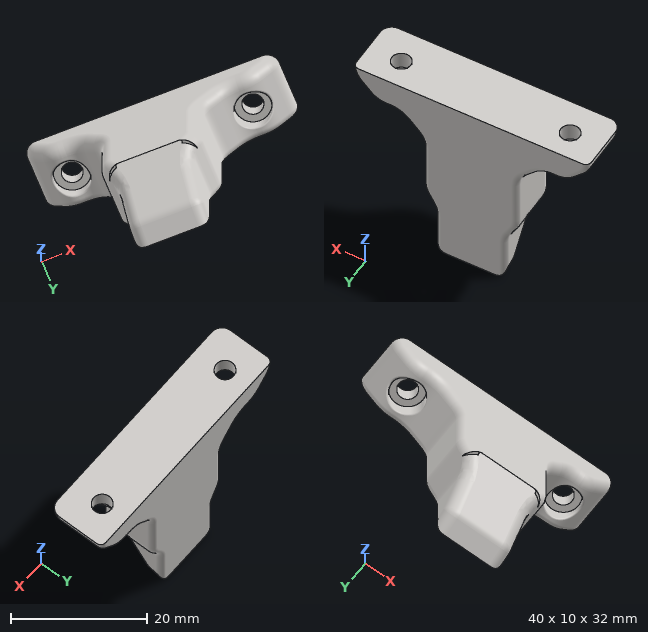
import cadquery as cq
import math

WIDTH = 40.0
DEPTH = 10.0
HEIGHT = 32.0

BEND_RADIUS = 4.0
SHELF_DROP = 5.5
FLARE_ANGLE = 45.0
STEM_HALF_WIDTH = 8.0
FLARE_DROP = 9.5
NECK_DROP = 20.0
NECK_ANGLE = 30.0
TIP_HALF_WIDTH = 6.0

SLOPE_START_DROP = 21.47
SLOPE_ANGLE = 35.1
BOTTOM_TILT = 20.0

FRONT_ROUND = 2.0
BACK_ROUND = 1.0

HOLE_DIAMETER = 3.2
HOLE_SPACING = 28.67
HOLE_FROM_BACK = 4.48
HEAD_RECESS_DIAMETER = 5.6
HEAD_SEAT_DROP = 3.0
RIM_ROUND = 0.25

STOCK = 4.0


def tan_deg(angle):
    return math.tan(math.radians(angle))


def make_outline_prism():
    """Symmetric bracket outline, extruded through the full depth, with rounded bends."""
    end_drop = BEND_RADIUS * tan_deg(FLARE_ANGLE / 2)
    shelf_half_width = WIDTH / 2 - (SHELF_DROP - end_drop) / tan_deg(FLARE_ANGLE)
    flare_half_width = STEM_HALF_WIDTH + (FLARE_DROP - SHELF_DROP) / tan_deg(FLARE_ANGLE)
    neck_height = (STEM_HALF_WIDTH - TIP_HALF_WIDTH) / tan_deg(NECK_ANGLE)
    bends = [
        (WIDTH / 2, -end_drop),
        (shelf_half_width, -SHELF_DROP),
        (flare_half_width, -SHELF_DROP),
        (STEM_HALF_WIDTH, -FLARE_DROP),
        (STEM_HALF_WIDTH, -NECK_DROP),
        (TIP_HALF_WIDTH, -NECK_DROP - neck_height),
    ]
    right_side = [(WIDTH / 2, STOCK)] + bends + [(TIP_HALF_WIDTH, -HEIGHT)]
    left_side = [(-x, z) for x, z in reversed(right_side)]
    prism = cq.Workplane("XZ").polyline(right_side + left_side).close().extrude(DEPTH)
    return prism.edges("|Y and (not >Z) and (not <Z)").fillet(BEND_RADIUS)


def make_side_prism():
    """Side profile with the sloped front of the tip and the tilted bottom, across the full width."""
    slope_end = DEPTH - (HEIGHT - SLOPE_START_DROP) * tan_deg(SLOPE_ANGLE)
    tip_depth = slope_end / (1 - tan_deg(BOTTOM_TILT) * tan_deg(SLOPE_ANGLE))
    profile = [
        (0, STOCK),
        (-DEPTH, STOCK),
        (-DEPTH, -SLOPE_START_DROP),
        (-tip_depth, -HEIGHT + tip_depth * tan_deg(BOTTOM_TILT)),
        (0, -HEIGHT),
    ]
    return cq.Workplane("YZ").polyline(profile).close().extrude(WIDTH / 2, both=True)


def round_front(body):
    """Round the front rim down both sides and around the bottom, leaving the slope's top edge sharp."""
    rim = cq.selectors.StringSyntaxSelector("not (|Y or >Y or >Z)")
    slope_top_edge = cq.selectors.NearestToPointSelector((0, -DEPTH, -SLOPE_START_DROP))
    return body.edges(rim - slope_top_edge).fillet(FRONT_ROUND)


def round_back(body):
    """Round the back rim down both sides, leaving the bottom edge sharp."""
    return body.edges(">Y and (not >Z) and (not <Z)").fillet(BACK_ROUND)


def make_top_cutter():
    """Block that removes the stock left above the top face."""
    return cq.Workplane("XY").box(2 * WIDTH, 4 * DEPTH, 2 * STOCK, centered=(True, True, False))


def add_screw_hole(body, center_x):
    """Vertical screw hole with a screw head recess, open below, whose rim is rounded."""
    center = (center_x, -HOLE_FROM_BACK)
    recess_radius = HEAD_RECESS_DIAMETER / 2
    shank = cq.Workplane("XY").center(*center).circle(HOLE_DIAMETER / 2).extrude(-HEIGHT)
    recess_plane = cq.Workplane("XY", origin=(0, 0, -HEAD_SEAT_DROP))
    recess = recess_plane.center(*center).circle(recess_radius).extrude(-HEIGHT)
    rim_zone = cq.selectors.BoxSelector(
        (center_x - recess_radius, -HOLE_FROM_BACK - recess_radius, -FLARE_DROP),
        (center_x + recess_radius, -HOLE_FROM_BACK + recess_radius, -HEAD_SEAT_DROP - RIM_ROUND),
    )
    recessed = body.cut(recess)
    rounded = recessed.edges("not |Z").edges(rim_zone).fillet(RIM_ROUND)
    return rounded.cut(shank)


body = make_outline_prism().intersect(make_side_prism())
result = round_front(body).intersect(round_back(body)).cut(make_top_cutter())
for side in (-1, 1):
    result = add_screw_hole(result, side * HOLE_SPACING / 2)